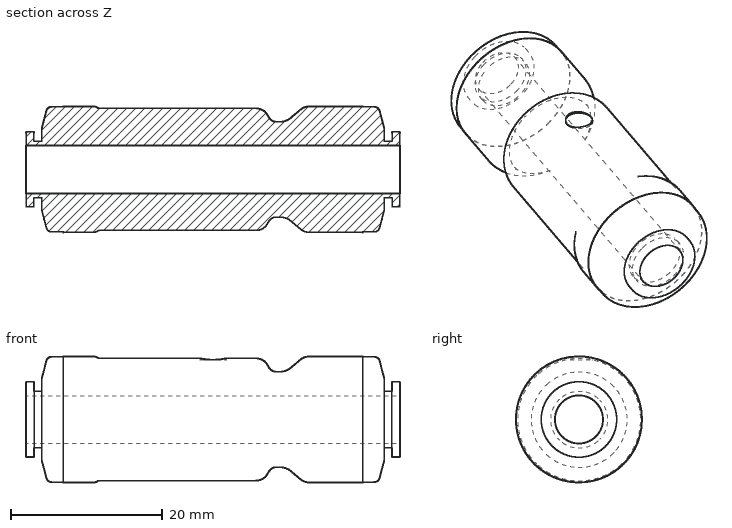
import cadquery as cq
import math

length = 49.55
bore_radius = 3.15

flange_radius = 5.0
flange_width = 1.1
flange_fillet = 0.15
collet_neck_radius = 3.75

end_face_inset = 2.1
end_face_radius = 5.45
cone_outer_inset = 2.7
cone_outer_radius = 7.75
rim_radius = 8.3
rim_start_inset = 3.45
rim_end_inset = 4.95

band_radius = 8.35
barrel_radius = 8.15
left_band_end = 8.95
band_round_run = 0.5
band_root_run = 0.25
barrel_end = 30.4

waist_radius = 6.35
waist_start = 33.25
waist_end = 33.7
barrel_slope = math.radians(54)
barrel_round_run = 1.5
waist_entry_run = 1.05
shoulder_slope = math.radians(39.3)
waist_exit_run = 1.35
shoulder_round_run = 1.2
right_band_start = 37.55

recess_x = length / 2
recess_radius = 1.8
recess_depth = 0.25


def arc_drop(run, slope):
    """Radial change of an arc turning from axial to the given slope over an axial run."""
    return run * math.tan(slope / 2)


def make_body():
    band_step = band_radius - barrel_radius
    blend_run = band_round_run + band_root_run
    blend_radius = band_radius - band_step * band_round_run / blend_run

    barrel_cone_start = (
        barrel_end + barrel_round_run,
        barrel_radius - arc_drop(barrel_round_run, barrel_slope),
    )
    barrel_cone_end = (
        waist_start - waist_entry_run,
        waist_radius + arc_drop(waist_entry_run, barrel_slope),
    )
    shoulder_cone_start = (
        waist_end + waist_exit_run,
        waist_radius + arc_drop(waist_exit_run, shoulder_slope),
    )
    shoulder_cone_end = (
        right_band_start - shoulder_round_run,
        band_radius - arc_drop(shoulder_round_run, shoulder_slope),
    )

    profile = (
        cq.Workplane("XY")
        .moveTo(end_face_inset, 0)
        .lineTo(end_face_inset, end_face_radius)
        .lineTo(cone_outer_inset, cone_outer_radius)
        .tangentArcPoint((rim_start_inset, rim_radius), relative=False)
        .lineTo(rim_end_inset, rim_radius)
        .lineTo(rim_end_inset, band_radius)
        .lineTo(left_band_end, band_radius)
        .tangentArcPoint((left_band_end + band_round_run, blend_radius), relative=False)
        .tangentArcPoint((left_band_end + blend_run, barrel_radius), relative=False)
        .lineTo(barrel_end, barrel_radius)
        .tangentArcPoint(barrel_cone_start, relative=False)
        .lineTo(*barrel_cone_end)
        .tangentArcPoint((waist_start, waist_radius), relative=False)
        .lineTo(waist_end, waist_radius)
        .tangentArcPoint(shoulder_cone_start, relative=False)
        .lineTo(*shoulder_cone_end)
        .tangentArcPoint((right_band_start, band_radius), relative=False)
        .lineTo(length - rim_end_inset, band_radius)
        .lineTo(length - rim_end_inset, rim_radius)
        .lineTo(length - rim_start_inset, rim_radius)
        .tangentArcPoint((length - cone_outer_inset, cone_outer_radius), relative=False)
        .lineTo(length - end_face_inset, end_face_radius)
        .lineTo(length - end_face_inset, 0)
        .close()
    )
    return profile.revolve(360, (0, 0, 0), (1, 0, 0))


def cylinder_along_x(start, width, radius):
    return cq.Workplane("YZ").workplane(offset=start).circle(radius).extrude(width)


def make_flange(start):
    return cylinder_along_x(start, flange_width, flange_radius).edges("%CIRCLE").fillet(flange_fillet)


def make_recess_cutter():
    floor = barrel_radius - recess_depth
    return (
        cq.Workplane("XY")
        .workplane(offset=floor)
        .center(recess_x, 0)
        .circle(recess_radius)
        .extrude(band_radius - floor)
    )


collet_neck = cylinder_along_x(flange_width / 2, length - flange_width, collet_neck_radius)
result = make_body().union(collet_neck)
for flange_start in (0, length - flange_width):
    result = result.union(make_flange(flange_start))
result = result.cut(cylinder_along_x(0, length, bore_radius))
result = result.cut(make_recess_cutter())